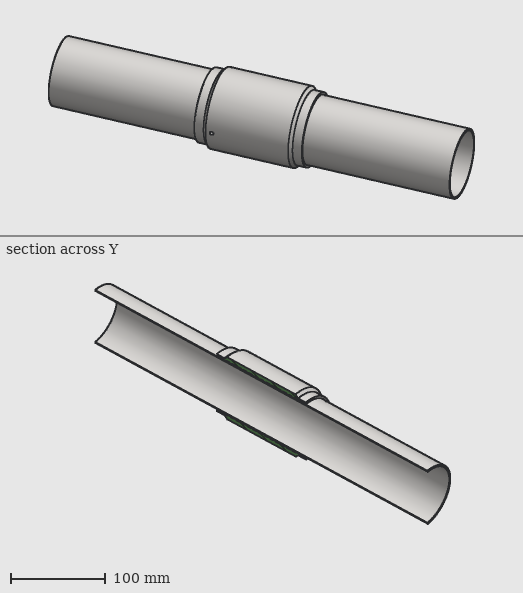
import cadquery as cq

pipe_length = 450.0
pipe_outer_diameter = 76.0
pipe_bore_diameter = 72.0

sleeve_bore_diameter = 76.5
sleeve_length = 120.5
neck_diameter = 82.0
barrel_diameter = 89.0
barrel_length = 100.0
bevel_length = (barrel_diameter - neck_diameter) / 2

port_diameter = 4.0
port_inset = 10.5
port_height = 1.0


def make_pipe():
    """Plain tube centred on the origin."""
    return (
        cq.Workplane("YZ", origin=(-pipe_length / 2, 0, 0))
        .circle(pipe_outer_diameter / 2)
        .circle(pipe_bore_diameter / 2)
        .extrude(pipe_length)
    )


def make_sleeve_body():
    """Turned sleeve: a bevelled barrel with a thinner neck at each end."""
    sleeve_end = sleeve_length / 2
    barrel_end = barrel_length / 2
    rim = barrel_end - bevel_length
    bore_radius = sleeve_bore_diameter / 2
    neck_radius = neck_diameter / 2
    barrel_radius = barrel_diameter / 2
    profile = [
        (-sleeve_end, bore_radius),
        (-sleeve_end, neck_radius),
        (-barrel_end, neck_radius),
        (-rim, barrel_radius),
        (rim, barrel_radius),
        (barrel_end, neck_radius),
        (sleeve_end, neck_radius),
        (sleeve_end, bore_radius),
    ]
    return cq.Workplane("XY").polyline(profile).close().revolve(360, (0, 0, 0), (1, 0, 0))


def make_port_cutter():
    """Cylinder from the mid-plane out through the -Y wall of the sleeve."""
    port_x = -barrel_length / 2 + port_inset
    return (
        cq.Workplane("XZ", origin=(port_x, 0, port_height))
        .circle(port_diameter / 2)
        .extrude(barrel_diameter)
    )


pipe = make_pipe()
sleeve = make_sleeve_body().cut(make_port_cutter())

result = cq.Compound.makeCompound([pipe.val(), sleeve.val()])